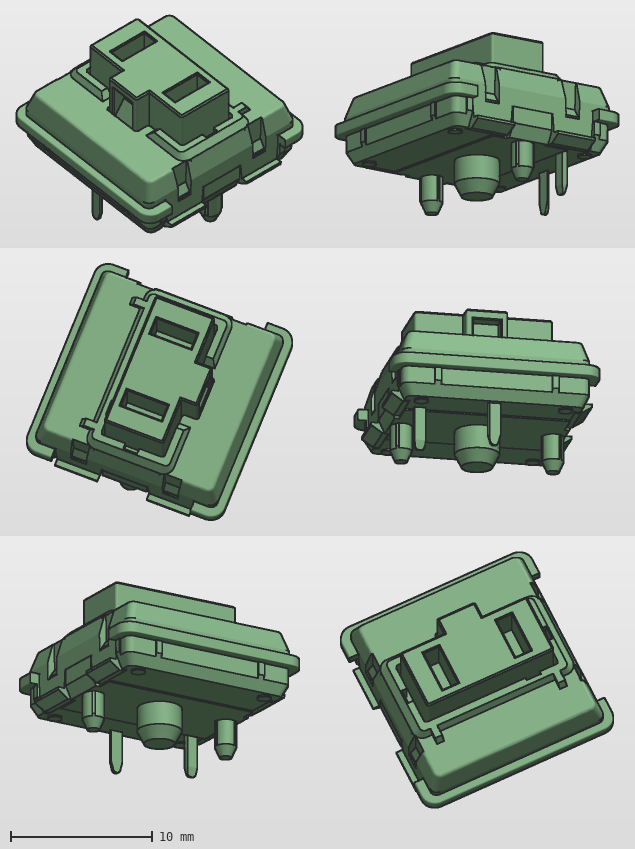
import cadquery as cq
import math


FLANGE_TOP = 0.81
WALL_TOP = 1.3
ROOF_Z = 2.8
DECK_Z = 3.27
STEM_TOP = 5.79
CHAMFER_Z = -1.22
BASE_Z = -2.07
PLATEAU_Z = -2.19
POST_SHOULDER_Z = -3.9
POST_END_Z = -4.83
PIN_TIP_Z = -5.2

FLANGE_SIZE = 15.0
FLANGE_CORNER_RADIUS = 1.05
FLANGE_TOP_FILLET = 0.12
FLANGE_BOTTOM_FILLET = 0.06
BODY_HALF = 6.78
CORNER_RADIUS = 0.5
BASE_LEAN = 25.0
RIB_HALF = 6.9
FRONT_RIB_INNER = 4.02
FRONT_RIB_OUTER = 4.5
SIDE_RIB_OUTER = 5.79
POCKET_FLOOR_X = 6.0
POCKET_INNER_Y = 1.68
POCKET_OUTER_Y = 5.3
PLATEAU_REAR_Y = 2.88
PLATEAU_FRONT_Y = -3.6
FOOT_DIAMETER = 1.0
FOOT_X = 5.24
FOOT_Y = 5.64

CENTRE_POST_DIAMETER = 3.2
CENTRE_POST_END_DIAMETER = 2.2
SIDE_POST_X = 5.5
SIDE_POST_DIAMETER = 1.56
CRUSH_RIB_DIAMETER = 1.7
CRUSH_RIB_WIDTH = 0.21
CRUSH_RIB_ANGLES = (60, 180, 300)
SIDE_POST_END_DIAMETER = 0.85

UPPER_HALF_Y = 6.9
ROOF_LEAN = 17.0
ROOF_FILLET = 0.22
SKIRT_HALF_Y = 5.24
LEG_TOP_INNER_Y = 1.75
LEG_BOTTOM_INNER_Y = 1.94
LEG_BOTTOM_OUTER_Y = 5.05
CLIP_TIP_X = 7.26
CLIP_TOP_Z = -1.34
CLIP_TIP_Z = -1.53
CLIP_ROOT_X = 6.44
NOTCH_CENTRE_Y = 3.5
NOTCH_TOP_WIDTH = 1.32
NOTCH_BOTTOM_WIDTH = 1.14
NOTCH_FLOOR_X = 6.21
NOTCH_LIP_X = 6.65
NOTCH_LIP_Z = 0.18

DECK_HALF_X = 5.79
DECK_HALF_Y = 2.97
DECK_CORNER_RADIUS = 0.36
DECK_FOOT_HALF_X = 6.32
DECK_FOOT_HALF_Y = 3.28
DECK_FOOT_CORNER_RADIUS = 0.78
DECK_GAP_FOOT_HALF = 2.35
DECK_GAP_TOP_HALF = 2.85
DECK_RIB_INNER_X = 4.56
DECK_RIB_OUTER_X = 5.12
DECK_RIB_TOP_Y = 3.78
DECK_RIB_FOOT_Y = 4.08

OPENING_HALF_X = 5.26
OPENING_HALF_Y = 2.42
OPENING_CORNER_RADIUS = 0.22
OPENING_FRONT_HALF_X = 1.64
OPENING_FRONT_Y = -3.58
OPENING_SIDE_NOTCH_X = 5.67
OPENING_SIDE_NOTCH_HALF_Y = 0.52
REAR_NOTCH_LEFT = -3.78
REAR_NOTCH_RIGHT = -2.65
REAR_NOTCH_Y = 2.61

STEM_HALF_X = 5.0
STEM_HALF_Y = 2.25
STEM_EDGE_FILLET = 0.18
NOSE_EDGE_FILLET = 0.15
STEM_TOP_CHAMFER = 0.12
NOSE_HALF_X = 1.5
NOSE_FRONT_Y = -3.46
RAIL_HALF_Y = 1.02
RAIL_TOP_Z = 1.8
SOCKET_X = 2.86
SOCKET_WIDTH = 1.2
SOCKET_LENGTH = 3.09
SOCKET_Y = 0.03
SOCKET_DEPTH = 3.0
MOUTH_CHAMFER = 0.09
MOUTH_LEAN = 45.0
WINDOW_HALF_X = 1.0
WINDOW_TOP_Z = 5.08
WINDOW_DEPTH = 1.02
RAMP_TOP_Z = 3.58
RAMP_BOTTOM_Z = 2.1

PIN_ROOT_Z = -1.35
SIDE_PIN_X = -4.96
SIDE_PIN_Y = -3.81
SIDE_PIN_WIDTH = 0.81
SIDE_PIN_THICKNESS = 0.45
SIDE_PIN_TAPER_Z = -4.52
SIDE_PIN_TIP_WIDTH = 0.63
SIDE_PIN_TIP_THICKNESS = 0.15
SIDE_PIN_TIP_ROUND = 0.25
CENTRE_PIN_Y = -5.88
CENTRE_PIN_WIDTH = 0.93
CENTRE_PIN_THICKNESS = 0.22
CENTRE_PIN_TAPER_Z = -4.4
CENTRE_PIN_TIP_RADIUS = 0.32
CENTRE_PIN_BEVEL = 0.12

SIDES = (-1, 1)


def block(x0, x1, y0, y1, z0, z1):
    """Box between two opposite corners, given in any order along each axis."""
    size = (abs(x1 - x0), abs(y1 - y0), abs(z1 - z0))
    low = (min(x0, x1), min(y0, y1), min(z0, z1))
    return cq.Workplane("XY").box(*size, centered=False).translate(low)


def rounded_plate(half_x, half_y, radius, z0, z1):
    """Upright block centred on Z with rounded vertical edges."""
    plate = block(-half_x, half_x, -half_y, half_y, z0, z1)
    return plate.edges("|Z").fillet(radius)


def lofted_plate(foot, foot_z, top, top_z):
    """Solid between two rounded rectangles, each given as (half_x, half_y, corner radius)."""
    sketches = []
    for (half_x, half_y, radius), z in ((foot, foot_z), (top, top_z)):
        sketch = cq.Sketch().rect(2 * half_x, 2 * half_y).vertices().fillet(radius)
        sketches.append(sketch.moved(cq.Location((0, 0, z))))
    return cq.Workplane("XY").placeSketch(*sketches).loft()


def leaning_block(half_x, half_y, radius, z, end_z, lean):
    """Rounded block from height z to end_z, up or down, with inward-leaning walls."""
    inset = abs(end_z - z) * math.tan(math.radians(lean))
    return lofted_plate((half_x, half_y, radius), z, (half_x - inset, half_y - inset, radius), end_z)


def flange():
    plate = rounded_plate(FLANGE_SIZE / 2, FLANGE_SIZE / 2, FLANGE_CORNER_RADIUS, 0, FLANGE_TOP)
    plate = plate.faces(">Z").edges().fillet(FLANGE_TOP_FILLET)
    return plate.faces("<Z").edges().fillet(FLANGE_BOTTOM_FILLET)


def wall_rib(half_x, y0, y1):
    """Rib across the body along X whose ends follow the leaning base walls."""
    lean = math.tan(math.radians(BASE_LEAN))
    rib_end_z = CHAMFER_Z + (RIB_HALF - BODY_HALF) / lean
    profile = [(-half_x, 0), (half_x, 0), (half_x, rib_end_z), (BODY_HALF, CHAMFER_Z),
               (-BODY_HALF, CHAMFER_Z), (-half_x, rib_end_z)]
    return cq.Workplane("XZ").polyline(profile).close().extrude(y0 - y1).translate((0, y0, 0))


def lower_shell():
    shell = rounded_plate(BODY_HALF, BODY_HALF, CORNER_RADIUS, CHAMFER_Z, 0)
    shell = shell.union(leaning_block(BODY_HALF, BODY_HALF, CORNER_RADIUS, CHAMFER_Z, BASE_Z, BASE_LEAN))
    for side in SIDES:
        shell = shell.union(wall_rib(RIB_HALF, side * POCKET_OUTER_Y, side * SIDE_RIB_OUTER))
        front_rib = wall_rib(RIB_HALF, side * FRONT_RIB_INNER, side * FRONT_RIB_OUTER)
        shell = shell.union(front_rib.rotate((0, 0, 0), (0, 0, 1), 90))
    band = block(-BODY_HALF, BODY_HALF, PLATEAU_FRONT_Y, PLATEAU_REAR_Y, PLATEAU_Z, CHAMFER_Z)
    plateau = leaning_block(BODY_HALF, BODY_HALF, CORNER_RADIUS, CHAMFER_Z, PLATEAU_Z, BASE_LEAN)
    plateau = plateau.intersect(band)
    feet = (
        cq.Workplane("XY", origin=(0, 0, PLATEAU_Z))
        .rect(2 * FOOT_X, 2 * FOOT_Y, forConstruction=True)
        .vertices()
        .circle(FOOT_DIAMETER / 2)
        .extrude(BASE_Z - PLATEAU_Z)
    )
    return shell.union(flange()).union(plateau).union(feet)


def leg_pockets(side):
    """Recess in one side wall that takes the skirt and the two legs of the upper housing."""
    outer_x = side * FLANGE_SIZE
    floor_x = side * POCKET_FLOOR_X
    pocket = block(floor_x, outer_x, -POCKET_OUTER_Y, POCKET_OUTER_Y, 0, FLANGE_TOP)
    for end in SIDES:
        pocket = pocket.union(
            block(floor_x, outer_x, end * POCKET_INNER_Y, end * POCKET_OUTER_Y, PLATEAU_Z, FLANGE_TOP)
        )
    return pocket


def tapered_post(radius, end_radius):
    """Round post on the Z axis that narrows below its shoulder."""
    profile = [(0, BASE_Z), (radius, BASE_Z), (radius, POST_SHOULDER_Z),
               (end_radius, POST_END_Z), (0, POST_END_Z)]
    return cq.Workplane("XZ").polyline(profile).close().revolve(360, (0, 0), (0, 1))


def centre_post():
    return tapered_post(CENTRE_POST_DIAMETER / 2, CENTRE_POST_END_DIAMETER / 2)


def side_post(side):
    """Tapered post with three crush ribs, one of them facing the centre."""
    rib_radius = CRUSH_RIB_DIAMETER / 2
    envelope = tapered_post(rib_radius, SIDE_POST_END_DIAMETER / 2)
    core = cq.Workplane("XY", origin=(0, 0, BASE_Z)).circle(SIDE_POST_DIAMETER / 2)
    core = core.extrude(POST_END_Z - BASE_Z)
    rib = block(0, rib_radius, -CRUSH_RIB_WIDTH / 2, CRUSH_RIB_WIDTH / 2, BASE_Z, POST_END_Z)
    for angle in CRUSH_RIB_ANGLES:
        core = core.union(rib.rotate((0, 0, 0), (0, 0, 1), angle))
    post = envelope.intersect(core)
    if side < 0:
        post = post.mirror("YZ")
    return post.translate((side * SIDE_POST_X, 0, 0))


def make_lower_housing(pins):
    housing = lower_shell().union(centre_post())
    for side in SIDES:
        housing = housing.union(side_post(side)).cut(leg_pockets(side))
    for pin in pins:
        housing = housing.cut(pin)
    return housing


def leaning_cap():
    return leaning_block(BODY_HALF, UPPER_HALF_Y, CORNER_RADIUS, WALL_TOP, ROOF_Z, ROOF_LEAN)


def upper_shell():
    shell = rounded_plate(BODY_HALF, UPPER_HALF_Y, CORNER_RADIUS, FLANGE_TOP, WALL_TOP)
    return shell.union(leaning_cap().faces(">Z").edges().fillet(ROOF_FILLET))


def clip_leg(end):
    """Tapered leg on the +X side with an outward clip at its foot."""
    profile = [(POCKET_FLOOR_X, 0), (BODY_HALF, 0), (BODY_HALF, CLIP_TOP_Z), (CLIP_TIP_X, CLIP_TOP_Z),
               (CLIP_TIP_X, CLIP_TIP_Z), (CLIP_ROOT_X, BASE_Z), (POCKET_FLOOR_X, BASE_Z)]
    section = cq.Workplane("XZ").polyline(profile).close().extrude(FLANGE_SIZE / 2, both=True)
    outline = [(end * LEG_TOP_INNER_Y, 0), (end * LEG_BOTTOM_INNER_Y, BASE_Z),
               (end * LEG_BOTTOM_OUTER_Y, BASE_Z), (end * SKIRT_HALF_Y, 0)]
    return section.intersect(cq.Workplane("YZ").polyline(outline).close().extrude(FLANGE_SIZE))


def wall_notch(end):
    """Narrowing notch down the +X wall with a ramp and a small lip at its foot."""
    profile = [(NOTCH_FLOOR_X, DECK_Z), (NOTCH_FLOOR_X, FLANGE_TOP), (NOTCH_LIP_X, NOTCH_LIP_Z),
               (NOTCH_LIP_X, 0), (FLANGE_SIZE, 0), (FLANGE_SIZE, DECK_Z)]
    section = cq.Workplane("XZ").polyline(profile).close().extrude(FLANGE_SIZE / 2, both=True)
    middle = end * NOTCH_CENTRE_Y
    top_half = NOTCH_TOP_WIDTH / 2
    bottom_half = NOTCH_BOTTOM_WIDTH / 2
    outline = [(middle - top_half, DECK_Z), (middle - top_half, ROOF_Z), (middle - bottom_half, 0),
               (middle + bottom_half, 0), (middle + top_half, ROOF_Z), (middle + top_half, DECK_Z)]
    return section.intersect(cq.Workplane("YZ").polyline(outline).close().extrude(FLANGE_SIZE))


def side_details():
    """Skirt and legs to add, and notches to cut, on the +X side."""
    skirt = block(POCKET_FLOOR_X, BODY_HALF, -SKIRT_HALF_Y, SKIRT_HALF_Y, 0, FLANGE_TOP)
    notches = cq.Workplane("XY")
    for end in SIDES:
        skirt = skirt.union(clip_leg(end))
        notches = notches.add(wall_notch(end))
    return skirt, notches.combine()


def deck():
    """Raised surround of the stem opening, with a gap in front and two ribs behind."""
    foot = (DECK_FOOT_HALF_X, DECK_FOOT_HALF_Y, DECK_FOOT_CORNER_RADIUS)
    top = (DECK_HALF_X, DECK_HALF_Y, DECK_CORNER_RADIUS)
    body = lofted_plate(foot, ROOF_Z, top, DECK_Z)
    straight_half_y = DECK_FOOT_HALF_Y - DECK_FOOT_CORNER_RADIUS
    sharp_band = block(-BODY_HALF, BODY_HALF, -straight_half_y, straight_half_y, WALL_TOP, ROOF_Z)
    body = body.union(leaning_cap().intersect(sharp_band))
    body = body.union(rounded_plate(*foot, ROOF_Z - ROOF_FILLET, ROOF_Z))
    gap = [(-DECK_GAP_FOOT_HALF, ROOF_Z), (-DECK_GAP_TOP_HALF, DECK_Z),
           (DECK_GAP_TOP_HALF, DECK_Z), (DECK_GAP_FOOT_HALF, ROOF_Z)]
    body = body.cut(cq.Workplane("XZ").polyline(gap).close().extrude(FLANGE_SIZE))
    rib_profile = [(0, ROOF_Z), (DECK_RIB_FOOT_Y, ROOF_Z), (DECK_RIB_TOP_Y, DECK_Z), (0, DECK_Z)]
    rib = cq.Workplane("YZ", origin=(DECK_RIB_INNER_X, 0, 0)).polyline(rib_profile).close()
    rib = rib.extrude(DECK_RIB_OUTER_X - DECK_RIB_INNER_X)
    return body.union(rib).union(rib.mirror("YZ"))


def stem_opening():
    """Vertical opening for the stem, with its side and rear notches."""
    opening = block(-OPENING_HALF_X, OPENING_HALF_X, -OPENING_HALF_Y, OPENING_HALF_Y, FLANGE_TOP, DECK_Z)
    opening = opening.union(
        block(-OPENING_FRONT_HALF_X, OPENING_FRONT_HALF_X, OPENING_FRONT_Y, 0, FLANGE_TOP, DECK_Z)
    )
    opening = opening.edges("|Z").fillet(OPENING_CORNER_RADIUS)
    side_notch = block(-OPENING_SIDE_NOTCH_X, OPENING_SIDE_NOTCH_X, -OPENING_SIDE_NOTCH_HALF_Y,
                       OPENING_SIDE_NOTCH_HALF_Y, FLANGE_TOP, DECK_Z)
    rear_notch = block(REAR_NOTCH_LEFT, REAR_NOTCH_RIGHT, 0, REAR_NOTCH_Y, FLANGE_TOP, DECK_Z)
    return opening.union(side_notch).union(rear_notch)


def make_upper_housing():
    skirt, notches = side_details()
    housing = upper_shell().union(deck()).union(skirt).union(skirt.mirror("YZ"))
    return housing.cut(notches).cut(notches.mirror("YZ")).cut(stem_opening())


def keycap_sockets():
    """The two keycap sockets, with chamfered mouths."""
    places = [(side * SOCKET_X, SOCKET_Y) for side in SIDES]
    top = cq.Workplane("XY", origin=(0, 0, STEM_TOP)).pushPoints(places)
    sockets = top.rect(SOCKET_WIDTH, SOCKET_LENGTH).extrude(-SOCKET_DEPTH)
    mouths = top.rect(SOCKET_WIDTH + 2 * MOUTH_CHAMFER, SOCKET_LENGTH + 2 * MOUTH_CHAMFER)
    return sockets.union(mouths.extrude(-MOUTH_CHAMFER, taper=MOUTH_LEAN))


def stem_window():
    """Window in the nose with a flat back wall above a ramp that runs down to the front."""
    back_y = NOSE_FRONT_Y + WINDOW_DEPTH
    profile = [(NOSE_FRONT_Y, RAMP_BOTTOM_Z), (NOSE_FRONT_Y, WINDOW_TOP_Z),
               (back_y, WINDOW_TOP_Z), (back_y, RAMP_TOP_Z)]
    window = cq.Workplane("YZ").polyline(profile).close().extrude(WINDOW_HALF_X, both=True)
    mouth_height = WINDOW_TOP_Z - RAMP_BOTTOM_Z
    mouth = (
        cq.Workplane("XZ", origin=(0, NOSE_FRONT_Y, RAMP_BOTTOM_Z + mouth_height / 2))
        .rect(2 * (WINDOW_HALF_X + MOUTH_CHAMFER), mouth_height + 2 * MOUTH_CHAMFER)
        .extrude(-MOUTH_CHAMFER, taper=MOUTH_LEAN)
    )
    return window.union(mouth)


def make_stem():
    stem = block(-STEM_HALF_X, STEM_HALF_X, -STEM_HALF_Y, STEM_HALF_Y, FLANGE_TOP, STEM_TOP)
    stem = stem.edges("|Z").fillet(STEM_EDGE_FILLET)
    nose = block(-NOSE_HALF_X, NOSE_HALF_X, NOSE_FRONT_Y, 0, FLANGE_TOP, STEM_TOP)
    nose = nose.edges("|Z and <Y").fillet(NOSE_EDGE_FILLET)
    stem = stem.union(nose).faces(">Z").edges().chamfer(STEM_TOP_CHAMFER)
    rails = block(-OPENING_HALF_X, OPENING_HALF_X, -RAIL_HALF_Y, RAIL_HALF_Y, FLANGE_TOP, RAIL_TOP_Z)
    tongues = block(-OPENING_SIDE_NOTCH_X, OPENING_SIDE_NOTCH_X, -OPENING_SIDE_NOTCH_HALF_Y,
                    OPENING_SIDE_NOTCH_HALF_Y, FLANGE_TOP, RAIL_TOP_Z)
    return stem.union(rails).union(tongues).cut(keycap_sockets()).cut(stem_window())


def make_side_pin():
    """Pin whose tip narrows both ways and ends in rounded corners."""
    shank = block(-SIDE_PIN_WIDTH / 2, SIDE_PIN_WIDTH / 2, -SIDE_PIN_THICKNESS / 2,
                  SIDE_PIN_THICKNESS / 2, PIN_ROOT_Z, SIDE_PIN_TAPER_Z)
    tip = (
        cq.Workplane("XY", origin=(0, 0, SIDE_PIN_TAPER_Z))
        .rect(SIDE_PIN_WIDTH, SIDE_PIN_THICKNESS)
        .workplane(offset=PIN_TIP_Z - SIDE_PIN_TAPER_Z)
        .rect(SIDE_PIN_TIP_WIDTH, SIDE_PIN_TIP_THICKNESS)
        .loft()
    )
    tip = tip.faces("<Z").edges("|Y").fillet(SIDE_PIN_TIP_ROUND)
    return shank.union(tip).translate((SIDE_PIN_X, SIDE_PIN_Y, 0))


def make_centre_pin():
    """Flat pin with a round tip and one bevelled edge."""
    half = CENTRE_PIN_WIDTH / 2
    tip_start_z = PIN_TIP_Z + CENTRE_PIN_TIP_RADIUS
    pin = (
        cq.Workplane("XZ")
        .moveTo(-half, PIN_ROOT_Z)
        .lineTo(half, PIN_ROOT_Z)
        .lineTo(half, CENTRE_PIN_TAPER_Z)
        .lineTo(CENTRE_PIN_TIP_RADIUS, tip_start_z)
        .threePointArc((0, PIN_TIP_Z), (-CENTRE_PIN_TIP_RADIUS, tip_start_z))
        .lineTo(-half, CENTRE_PIN_TAPER_Z)
        .close()
        .extrude(CENTRE_PIN_THICKNESS / 2, both=True)
    )
    return pin.edges("|Z and <X and <Y").chamfer(CENTRE_PIN_BEVEL).translate((0, CENTRE_PIN_Y, 0))


side_pin = make_side_pin()
centre_pin = make_centre_pin()
lower_housing = make_lower_housing([side_pin, centre_pin])
upper_housing = make_upper_housing()
stem = make_stem()

result = cq.Compound.makeCompound(
    [lower_housing.val(), upper_housing.val(), stem.val(), side_pin.val(), centre_pin.val()]
)